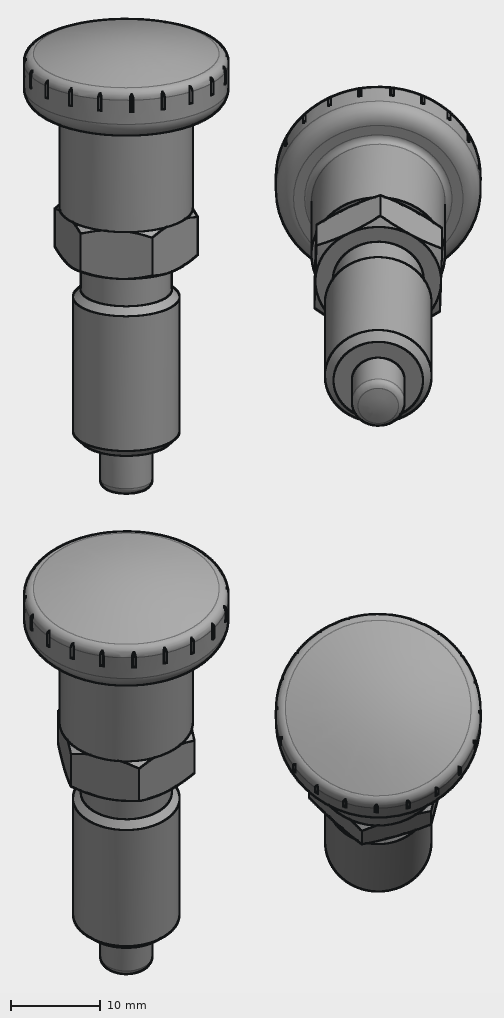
import cadquery as cq
import math

total_height = 53.95
rim_top = 52.45
notch_bottom = 49.95
knob_underside = 46.45
sleeve_bottom = 33.9
hex_bottom = 28.05
neck_bottom = 24.0
barrel_bottom = 5.95

knob_radius = 11.5
rim_rounding = 1.1
underside_rounding = 2.0
sleeve_radius = 7.5
sleeve_fillet = 0.75
notch_count = 20
notch_depth = 0.2

hex_across_flats = 14.1
hex_bevel_angle = 30.0
neck_radius = 5.1
barrel_radius = 6.0
barrel_top_chamfer = barrel_radius - neck_radius
barrel_end_chamfer = 0.95
pin_radius = 2.95
tip_crown_height = 0.5
tip_rounding = 0.9


def cylinder(radius, bottom, top):
    return cq.Workplane("XY").workplane(offset=bottom).circle(radius).extrude(top - bottom)


def crown_sphere_radius(edge_radius, height):
    """Sphere whose cap has the given edge radius and height."""
    return (edge_radius**2 + height**2) / (2 * height)


def make_v_notch():
    """Cutter for one upright V-notch in the rim, on the +X side."""
    root = knob_radius - notch_depth
    return (
        cq.Workplane("XY")
        .workplane(offset=notch_bottom)
        .moveTo(root, 0)
        .lineTo(root + 2 * notch_depth, -2 * notch_depth)
        .lineTo(root + 2 * notch_depth, 2 * notch_depth)
        .close()
        .extrude(total_height - notch_bottom)
    )


def make_knob():
    """Domed, notched head with a plain sleeve below it."""
    dome_edge_radius = knob_radius - rim_rounding
    dome_sphere_radius = crown_sphere_radius(dome_edge_radius, total_height - rim_top)
    knob = (
        cq.Workplane("XZ")
        .moveTo(0, sleeve_bottom)
        .lineTo(sleeve_radius, sleeve_bottom)
        .lineTo(sleeve_radius, knob_underside - sleeve_fillet)
        .radiusArc((sleeve_radius + sleeve_fillet, knob_underside), sleeve_fillet)
        .lineTo(knob_radius - underside_rounding, knob_underside)
        .radiusArc((knob_radius, knob_underside + underside_rounding), -underside_rounding)
        .lineTo(knob_radius, rim_top - rim_rounding)
        .radiusArc((dome_edge_radius, rim_top), -rim_rounding)
        .radiusArc((0, total_height), -dome_sphere_radius)
        .close()
        .revolve(360, (0, 0, 0), (0, 1, 0))
    )

    notch = make_v_notch()
    for index in range(notch_count):
        knob = knob.cut(notch.rotate((0, 0, 0), (0, 0, 1), index * 360 / notch_count))
    return knob


def make_hexagon():
    """Hexagon with flats facing Y, its corners bevelled at both ends."""
    corner_diameter = hex_across_flats / math.cos(math.pi / 6)
    height = sleeve_bottom - hex_bottom
    hexagon = cq.Workplane("XY").workplane(offset=hex_bottom).polygon(6, corner_diameter).extrude(height)

    bevel_width = (corner_diameter - hex_across_flats) / 2
    bevel_drop = bevel_width * math.tan(math.radians(hex_bevel_angle))
    bevelled_blank = (
        cylinder(corner_diameter / 2, hex_bottom, sleeve_bottom)
        .edges(">Z or <Z")
        .chamfer(bevel_drop, bevel_width)
    )
    return hexagon.intersect(bevelled_blank)


def make_pin():
    """Pin with a spherical crown at its tip, rounded into the side."""
    pin = (
        cq.Workplane("XZ")
        .moveTo(0, barrel_bottom)
        .lineTo(pin_radius, barrel_bottom)
        .lineTo(pin_radius, tip_crown_height)
        .radiusArc((0, 0), crown_sphere_radius(pin_radius, tip_crown_height))
        .close()
        .revolve(360, (0, 0, 0), (0, 1, 0))
    )
    side_circles = pin.edges(cq.selectors.RadiusNthSelector(0))
    return side_circles.edges("<Z").fillet(tip_rounding)


def make_plunger():
    """Hexagon, relief neck, barrel and crowned pin in one piece."""
    neck = cylinder(neck_radius, neck_bottom, hex_bottom)
    barrel = (
        cylinder(barrel_radius, barrel_bottom, neck_bottom)
        .faces(">Z").chamfer(barrel_top_chamfer)
        .faces("<Z").chamfer(barrel_end_chamfer)
    )
    return make_hexagon().union(neck).union(barrel).union(make_pin())


knob = make_knob()
plunger = make_plunger()

result = cq.Compound.makeCompound([knob.solids().val(), plunger.solids().val()])